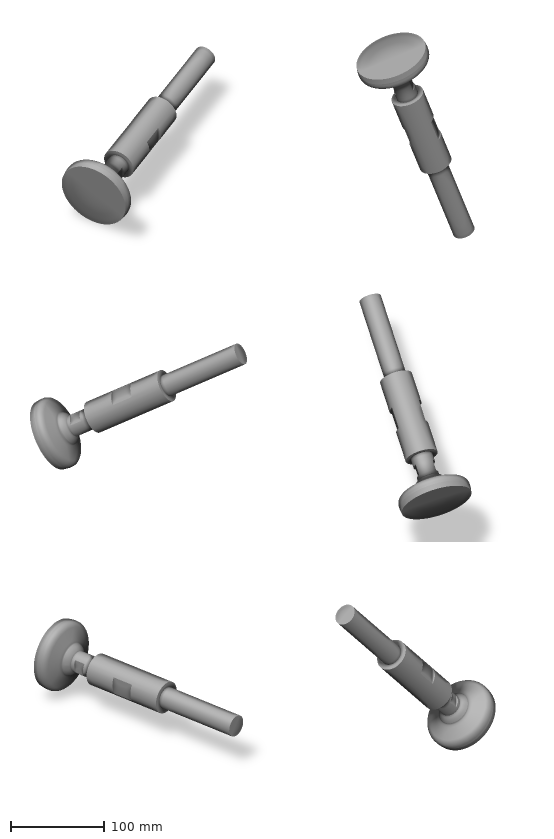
import cadquery as cq
import math

TOTAL_LENGTH = 246.5

FOOT_DIAMETER = 80.0
FOOT_RADIUS = FOOT_DIAMETER / 2
UNDERSIDE_RADIUS = 39.2
TAPER_HEIGHT = 6.0
RIM_TOP = 8.9
SHOULDER_RADIUS = 7.5
CONE_ANGLE = math.radians(20)
CONE_TOP_RADIUS = 19.5

DOME_BOTTOM = 23.0
DOME_BOTTOM_RADIUS = 18.2
DOME_MIDDLE = 26.4
DOME_MIDDLE_RADIUS = 15.8
DOME_TOP = 29.0

SPINDLE_DIAMETER = 24.2
SPINDLE_RADIUS = SPINDLE_DIAMETER / 2
SPINDLE_ACROSS_FLATS = 19.0
SPINDLE_FLAT_START = 33.3
SPINDLE_FLAT_LENGTH = 12.5

SLEEVE_DIAMETER = 36.0
SLEEVE_START = 55.5
SLEEVE_LENGTH = 95.1
SLEEVE_ACROSS_FLATS = 30.0
SLEEVE_FLAT_LENGTH = 25.0
SLEEVE_FLAT_START = SLEEVE_START + (SLEEVE_LENGTH - SLEEVE_FLAT_LENGTH) / 2


def cylinder_along_y(diameter, start, length):
    """Cylinder on the Y axis that runs from start towards +Y."""
    return (
        cq.Workplane("XZ", origin=(0, start, 0))
        .circle(diameter / 2)
        .extrude(-length)
    )


def cut_wrench_flats(body, diameter, across_flats, start, length):
    """Cut two opposite wrench flats, facing -X and +X, into a round body."""
    depth = (diameter - across_flats) / 2
    for side in (-1, 1):
        cutter = cq.Workplane("XY").box(2 * depth, length, diameter)
        x_center = side * (across_flats / 2 + depth)
        body = body.cut(cutter.translate((x_center, start + length / 2, 0)))
    return body.solids()


def make_spindle():
    """Foot plate, domed neck and rod as one turned body with wrench flats."""
    shoulder_center_radius = FOOT_RADIUS - SHOULDER_RADIUS

    def shoulder_point(angle):
        return (
            shoulder_center_radius + SHOULDER_RADIUS * math.sin(angle),
            RIM_TOP + SHOULDER_RADIUS * math.cos(angle),
        )

    shoulder_middle = shoulder_point((CONE_ANGLE + math.pi / 2) / 2)
    shoulder_top = shoulder_point(CONE_ANGLE)
    cone_top = shoulder_top[1] + (shoulder_top[0] - CONE_TOP_RADIUS) * math.tan(CONE_ANGLE)

    body = (
        cq.Workplane("XY")
        .lineTo(UNDERSIDE_RADIUS, 0)
        .lineTo(FOOT_RADIUS, TAPER_HEIGHT)
        .lineTo(FOOT_RADIUS, RIM_TOP)
        .threePointArc(shoulder_middle, shoulder_top)
        .lineTo(CONE_TOP_RADIUS, cone_top)
        .tangentArcPoint((DOME_BOTTOM_RADIUS, DOME_BOTTOM), relative=False)
        .threePointArc((DOME_MIDDLE_RADIUS, DOME_MIDDLE), (SPINDLE_RADIUS, DOME_TOP))
        .lineTo(SPINDLE_RADIUS, TOTAL_LENGTH)
        .lineTo(0, TOTAL_LENGTH)
        .close()
        .revolve(360, (0, 0, 0), (0, 1, 0))
    )
    return cut_wrench_flats(
        body, SPINDLE_DIAMETER, SPINDLE_ACROSS_FLATS, SPINDLE_FLAT_START, SPINDLE_FLAT_LENGTH
    )


def make_sleeve():
    """Sleeve with a through bore that fits the spindle, and wrench flats."""
    body = cylinder_along_y(SLEEVE_DIAMETER, SLEEVE_START, SLEEVE_LENGTH)
    bore = cylinder_along_y(SPINDLE_DIAMETER, SLEEVE_START, SLEEVE_LENGTH)
    return cut_wrench_flats(
        body.cut(bore), SLEEVE_DIAMETER, SLEEVE_ACROSS_FLATS, SLEEVE_FLAT_START, SLEEVE_FLAT_LENGTH
    )


spindle = make_spindle()
sleeve = make_sleeve()
result = cq.Compound.makeCompound([spindle.val(), sleeve.val()])